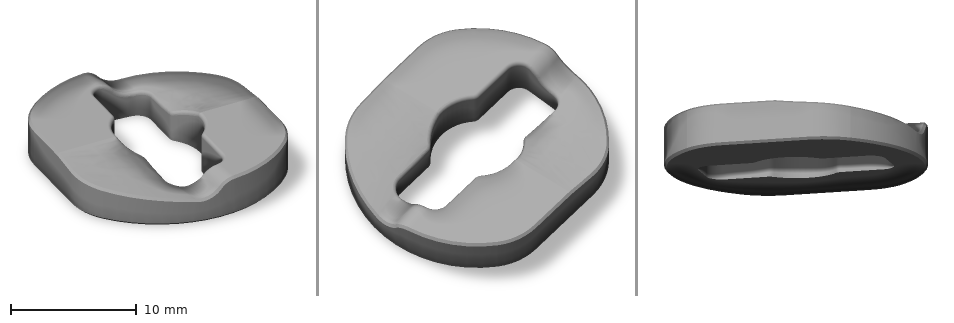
import cadquery as cq
import math

disc_radius = 10.5
flat_to_flat = 18.5
corner_radius = 5.12
thickness = 3.4
edge_chamfer = 0.2

slot_half_length = 7.7
slot_half_width = 2.45
slot_corner_radius = 1.2
bore_radius = 3.7
throat_radius = 0.75
rim_fillet = 0.3

ramp_tilt = 5.0
ramp_depth = 1.3
ramp_foot_offset = 2.44
ramp_end_slope = 11.0
hollow_radius = 2.15
crest_radius = 1.85

cutter_inner_reach = 2.1
cutter_outer_reach = 15.75
cutter_clearance = 1.05
cutter_top = thickness + cutter_clearance


def plate():
    blank = cq.Workplane("XY").circle(disc_radius).extrude(thickness)
    flats = cq.Workplane("XY").rect(2 * disc_radius, flat_to_flat).extrude(thickness)
    return blank.intersect(flats).edges("|Z").fillet(corner_radius)


def opening():
    slot = (
        cq.Workplane("XY")
        .rect(2 * slot_half_length, 2 * slot_half_width)
        .extrude(thickness)
        .edges("|Z")
        .fillet(slot_corner_radius)
    )
    bore = cq.Workplane("XY").circle(bore_radius).extrude(thickness)
    throat_x = math.sqrt(bore_radius**2 - slot_half_width**2)
    margin = 0.02
    box_x = throat_x + margin
    box_y = slot_half_width + margin
    throat_box = cq.selectors.BoxSelector((-box_x, -box_y, 0), (box_x, box_y, thickness))
    return slot.union(bore).edges("|Z").edges(throat_box).fillet(throat_radius)


def ramp_cutter():
    """Space above the warped ramp, ruled from a line in the top face to the ramp foot."""
    ramp_foot_z = thickness - ramp_depth
    start = [
        (0, cutter_inner_reach, thickness),
        (0, cutter_outer_reach, thickness),
        (0, cutter_outer_reach, cutter_top),
        (0, cutter_inner_reach, cutter_top),
    ]
    foot = [
        (-cutter_inner_reach, ramp_foot_offset, ramp_foot_z),
        (-cutter_outer_reach, ramp_foot_offset, ramp_foot_z),
        (-cutter_outer_reach, ramp_foot_offset, cutter_top),
        (-cutter_inner_reach, ramp_foot_offset, cutter_top),
    ]
    wires = [
        cq.Wire.makePolygon([cq.Vector(*p) for p in corners], close=True)
        for corners in (start, foot)
    ]
    return cq.Workplane(obj=cq.Solid.makeLoft(wires, True))


def climb_cutter():
    """Space above the S-shaped climb: a hollow arc, then a crest arc."""
    end_slope = math.radians(ramp_end_slope)
    steepest = math.acos(
        (hollow_radius * math.cos(end_slope) + crest_radius - ramp_depth) / (hollow_radius + crest_radius)
    )
    hollow_y = ramp_foot_offset - hollow_radius * math.sin(end_slope)
    hollow_z = thickness - ramp_depth + hollow_radius * math.cos(end_slope)
    crest_y = hollow_y - (hollow_radius + crest_radius) * math.sin(steepest)
    crest_z = thickness - crest_radius

    def on_hollow(slope):
        return (hollow_y - hollow_radius * math.sin(slope), hollow_z - hollow_radius * math.cos(slope))

    def on_crest(slope):
        return (crest_y + crest_radius * math.sin(slope), crest_z + crest_radius * math.cos(slope))

    return (
        cq.Workplane("YZ", origin=(-cutter_outer_reach, 0, 0))
        .moveTo(*on_hollow(-end_slope))
        .threePointArc(on_hollow((steepest - end_slope) / 2), on_hollow(steepest))
        .threePointArc(on_crest(steepest / 2), on_crest(0))
        .lineTo(crest_y, cutter_top)
        .lineTo(ramp_foot_offset, cutter_top)
        .close()
        .extrude(cutter_outer_reach - cutter_inner_reach)
    )


def ends_between(edges, smallest_radius, largest_radius):
    """Edges whose two ends both lie between the given distances from the part axis."""

    def is_inside(point):
        return smallest_radius < math.hypot(point.x, point.y) < largest_radius

    return edges.filter(lambda edge: is_inside(edge.startPoint()) and is_inside(edge.endPoint()))


cutter = ramp_cutter().union(climb_cutter()).rotate((0, 0, 0), (0, 0, 1), ramp_tilt)
body = plate().cut(opening())
for turn in (0, 180):
    body = body.cut(cutter.rotate((0, 0, 0), (0, 0, 1), turn))

opening_limit = (slot_half_length + flat_to_flat / 2) / 2

top_edges = body.edges("not |Z").edges("not <Z")
body = ends_between(top_edges, 0, opening_limit).fillet(rim_fillet)
rim_edges = body.edges("not |Z")
result = ends_between(rim_edges, opening_limit, 2 * disc_radius).chamfer(edge_chamfer)